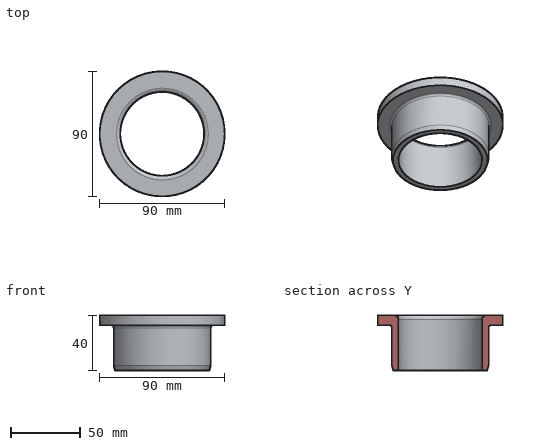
import cadquery as cq
import math

flange_diameter = 90.0
body_diameter = 70.0
bore_diameter = 60.0
total_height = 40.0
flange_thickness = 7.5
bore_mouth_radius = 3.0
root_fillet_radius = 1.5
lead_in_height = 4.0
lead_in_angle = 15.0

flange_radius = flange_diameter / 2
body_radius = body_diameter / 2
bore_radius = bore_diameter / 2
flange_underside = total_height - flange_thickness
lead_in_inset = lead_in_height * math.tan(math.radians(lead_in_angle))

section = (
    cq.Workplane("XZ")
    .moveTo(bore_radius, 0)
    .lineTo(body_radius - lead_in_inset, 0)
    .lineTo(body_radius, lead_in_height)
    .lineTo(body_radius, flange_underside - root_fillet_radius)
    .radiusArc((body_radius + root_fillet_radius, flange_underside), root_fillet_radius)
    .lineTo(flange_radius, flange_underside)
    .lineTo(flange_radius, total_height)
    .lineTo(bore_radius + bore_mouth_radius, total_height)
    .radiusArc((bore_radius, total_height - bore_mouth_radius), -bore_mouth_radius)
    .close()
)

result = section.revolve(360, (0, 0, 0), (0, 1, 0))